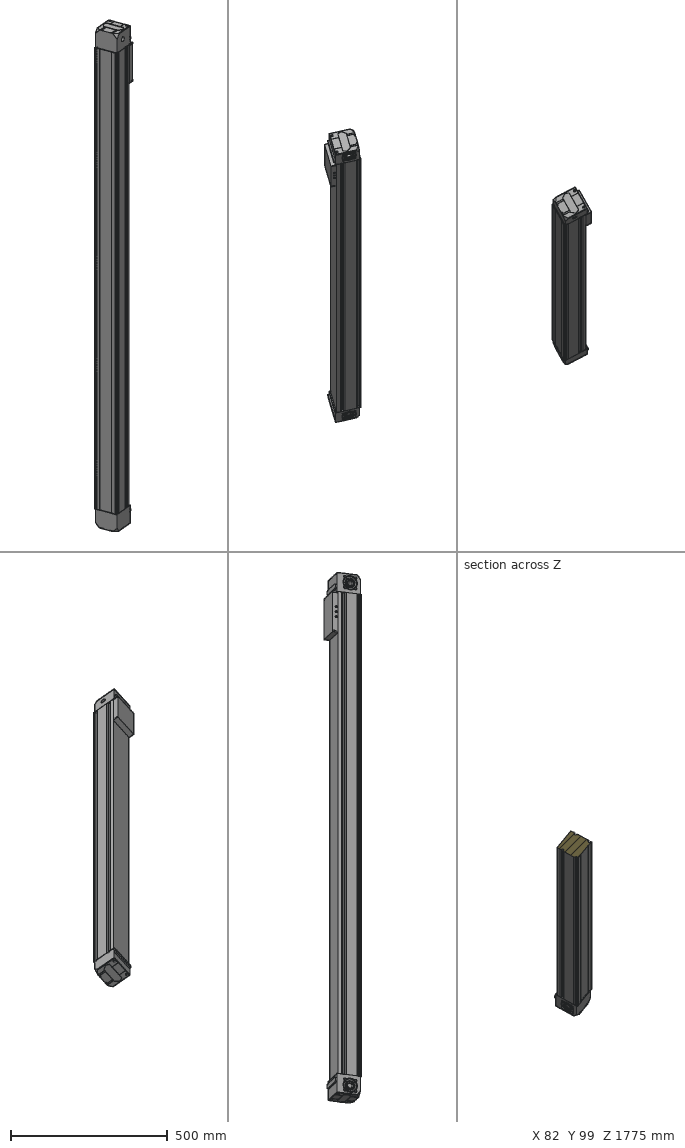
import cadquery as cq

total_length = 1775.0
profile_width = 82.0
profile_depth = 80.0
overall_depth = 99.0
cap_length = 67.0
profile_length = total_length - 2 * cap_length
front_y = -profile_depth / 2
back_y = profile_depth / 2
half_width = profile_width / 2

opening_half_width = 22.5
strip_half_width = 21.0
opening_lip_depth = 0.6
strip_depth = 1.0
front_land_edge = 36.0
front_recess_depth = 0.3

rear_groove_y = 20.0
rear_groove_mouth = 16.0
rear_groove_slot = 6.0
fore_groove_front = -36.0
fore_groove_middle = -30.5
fore_groove_back = -25.0
groove_mouth_depth = 1.0
groove_slot_depth = 6.0
taper_start_y = rear_groove_y + rear_groove_mouth / 2
taper_inset = 2.0

cap_width = profile_width
cap_front_y = -36.0
cap_back_y = 44.0
corner_cut_x = 18.0
corner_cut_y = 13.0
corner_cut_z = 18.0
end_chamfer = 2.0

pad_height = 1.5
pad_front_y = -9.0
pad_back_y = 17.5
pad_side_y = 5.0
pad_front_half_width = 27.0
pad_back_half_width = 32.0
pad_half_width = 37.0

channel_depth = 0.8
front_channel_half_width = 23.5
tongue_half_width = 18.5
tongue_corner_radius = 6.0
tongue_front_y = -33.0
back_channel_half_width = 18.5

end_screw_diameter = 6.0
end_screw_depth = 10.0
end_screw_x = 31.0
end_screw_y = 36.0

hub_inset = 32.0
hub_y = -1.0
hub_steps = [(48.0, 1.0), (42.7, 2.0), (32.17, 3.0), (24.5, 4.0)]
hub_floor_diameter = 16.0
hub_floor_depth = 5.0
flange_screw_diameter = 8.5
flange_screw_depth = 12.0
flange_screw_spacing = 36.0

bar_length = 80.0
bar_height = 16.0
bar_thickness = 5.0
bar_inset = 47.5

box_length = 139.0
box_top_chamfer_y = 4.0
box_top_chamfer_z = 1.0
box_panel_recess = 0.4
box_end_lip = 5.0
box_lower_lip_depth = 11.0
port_diameter = 6.0
port_depth = 8.0
port_count = 3
port_spacing = 17.0
port_y = 47.0


def block(x_range, y_range, z_range):
    """Axis-aligned block between pairs of limits."""
    (x0, x1), (y0, y1), (z0, z1) = x_range, y_range, z_range
    return cq.Workplane("XY").box(x1 - x0, y1 - y0, z1 - z0, centered=False).translate((x0, y0, z0))


def make_profile():
    z_range = (-profile_length / 2, profile_length / 2)
    body = (
        cq.Workplane("XY", origin=(0, 0, z_range[0]))
        .polyline([
            (-half_width, front_y),
            (half_width, front_y),
            (half_width, taper_start_y),
            (half_width - taper_inset, back_y),
            (taper_inset - half_width, back_y),
            (-half_width, taper_start_y),
        ])
        .close()
        .extrude(profile_length)
    )
    for half, depth in (
        (front_land_edge, front_recess_depth),
        (opening_half_width, opening_lip_depth),
        (strip_half_width, strip_depth),
    ):
        body = body.cut(block((-half, half), (front_y, front_y + depth), z_range))

    side_grooves = (
        (rear_groove_y - rear_groove_mouth / 2, rear_groove_y + rear_groove_mouth / 2, groove_mouth_depth),
        (rear_groove_y - rear_groove_slot / 2, rear_groove_y + rear_groove_slot / 2, groove_slot_depth),
        (fore_groove_front, fore_groove_back, groove_mouth_depth),
        (fore_groove_front, fore_groove_middle, groove_slot_depth),
    )
    for y_start, y_end, depth in side_grooves:
        groove = block((-half_width, depth - half_width), (y_start, y_end), z_range)
        body = body.cut(groove).cut(groove.mirror("YZ"))
    return body


def corner_cutter(side):
    """Tetrahedron that slants off a front corner of the cap's outer end."""
    corner = cq.Vector(side * cap_width / 2, cap_front_y, total_length / 2)
    tip_x = corner + cq.Vector(-side * corner_cut_x, 0, 0)
    tip_y = corner + cq.Vector(0, corner_cut_y, 0)
    tip_z = corner + cq.Vector(0, 0, -corner_cut_z)
    triangles = [
        [tip_x, tip_y, tip_z],
        [corner, tip_x, tip_y],
        [corner, tip_y, tip_z],
        [corner, tip_z, tip_x],
    ]
    faces = [cq.Face.makeFromWires(cq.Wire.makePolygon(triangle, close=True)) for triangle in triangles]
    return cq.Workplane(cq.Solid.makeSolid(cq.Shell.makeShell(faces)))


def make_cap(open_bore):
    """Upper end cap; its pulley bore either runs from side to side or stops at the hub floor."""
    end_z = total_length / 2
    joint_z = profile_length / 2
    seat_z = end_z - pad_height
    half = cap_width / 2
    body = block((-half, half), (cap_front_y, cap_back_y), (joint_z, seat_z))
    body = body.faces(">Z").edges("|Y or >Y").chamfer(end_chamfer)

    channel_z = (seat_z - channel_depth, seat_z)
    tongue = (
        block((-tongue_half_width, tongue_half_width), (tongue_front_y, pad_front_y), channel_z)
        .edges("|Z and <Y")
        .fillet(tongue_corner_radius)
    )
    front_channel = block(
        (-front_channel_half_width, front_channel_half_width), (tongue_front_y, pad_front_y), channel_z
    ).cut(tongue)
    back_channel = block(
        (-back_channel_half_width, back_channel_half_width), (pad_back_y, cap_back_y), channel_z
    )
    body = body.cut(front_channel).cut(back_channel)

    pad = (
        cq.Workplane("XY", origin=(0, 0, seat_z))
        .polyline([
            (-pad_front_half_width, pad_front_y),
            (pad_front_half_width, pad_front_y),
            (pad_half_width, pad_side_y),
            (pad_back_half_width, pad_back_y),
            (-pad_back_half_width, pad_back_y),
            (-pad_half_width, pad_side_y),
        ])
        .close()
        .extrude(pad_height)
    )
    body = body.union(pad)

    for side in (-1, 1):
        body = body.cut(corner_cutter(side))

    end_screws = (
        cq.Workplane("XY", origin=(0, 0, end_z))
        .pushPoints([(-end_screw_x, end_screw_y), (end_screw_x, end_screw_y)])
        .circle(end_screw_diameter / 2)
        .extrude(-end_screw_depth)
    )
    body = body.cut(end_screws)

    side_plane = cq.Workplane("YZ", origin=(-half, hub_y, end_z - hub_inset))
    for diameter, depth in hub_steps:
        body = body.cut(side_plane.circle(diameter / 2).extrude(depth))
    flange_screws = (
        side_plane.rect(flange_screw_spacing, flange_screw_spacing, forConstruction=True)
        .vertices()
        .circle(flange_screw_diameter / 2)
        .extrude(flange_screw_depth)
    )
    body = body.cut(flange_screws)
    bore_depth = cap_width if open_bore else hub_floor_depth
    body = body.cut(side_plane.circle(hub_floor_diameter / 2).extrude(bore_depth))

    bar = (
        cq.Workplane("XZ", origin=(0, cap_back_y, end_z - bar_inset))
        .slot2D(bar_length, bar_height)
        .extrude(-bar_thickness)
    )
    return body.union(bar)


def make_control_box():
    top_z = profile_length / 2
    bottom_z = top_z - box_length
    outer_y = front_y + overall_depth
    box = block((-half_width, half_width), (back_y, outer_y), (bottom_z, top_z))
    chamfer_cutter = (
        cq.Workplane("YZ", origin=(-half_width, 0, 0))
        .polyline([
            (outer_y, top_z),
            (outer_y - box_top_chamfer_y, top_z),
            (outer_y, top_z - box_top_chamfer_z),
        ])
        .close()
        .extrude(profile_width)
    )
    box = box.cut(chamfer_cutter)

    lip_y = outer_y - box_lower_lip_depth
    panel_x = (-half_width, box_panel_recess - half_width)
    panel = block(panel_x, (back_y, outer_y), (bottom_z + box_end_lip, top_z - box_end_lip)).union(
        block(panel_x, (back_y, lip_y), (bottom_z, top_z - box_end_lip))
    )
    box = box.cut(panel).cut(panel.mirror("YZ"))

    ports = (
        cq.Workplane("YZ", origin=(-half_width, port_y, top_z - box_length / 2))
        .rarray(1, port_spacing, 1, port_count)
        .circle(port_diameter / 2)
        .extrude(port_depth)
    )
    return box.cut(ports)


profile = make_profile()
upper_cap = make_cap(open_bore=True)
lower_cap = make_cap(open_bore=False).mirror("XY")
control_box = make_control_box()

result = cq.Compound.makeCompound(
    [profile.val(), upper_cap.val(), lower_cap.val(), control_box.val()]
)